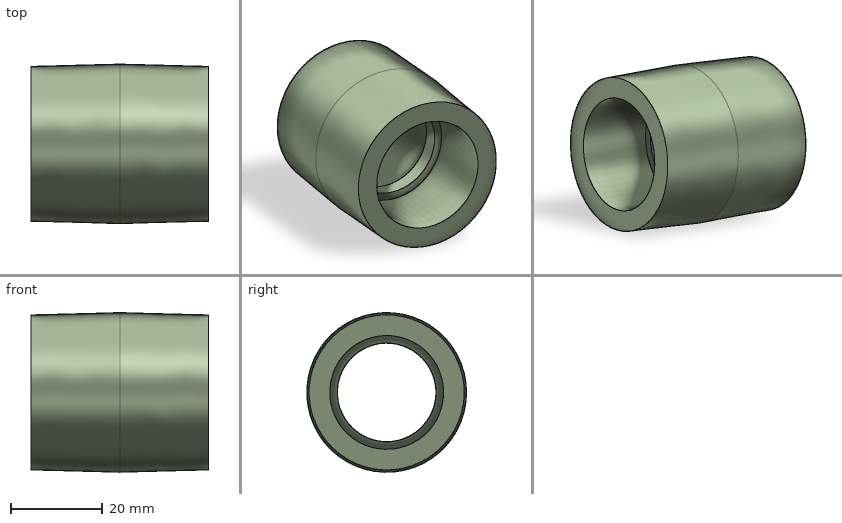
import cadquery as cq

length = 39.0
end_diameter = 34.1
crown_diameter = 35.1
socket_diameter = 25.0
stop_diameter = 21.65
stop_width = 3.9

half_length = length / 2
end_radius = end_diameter / 2
crown_radius = crown_diameter / 2

body = (
    cq.Workplane("XY")
    .moveTo(-half_length, 0)
    .lineTo(-half_length, end_radius)
    .lineTo(0, crown_radius)
    .lineTo(half_length, end_radius)
    .lineTo(half_length, 0)
    .close()
    .revolve(360, (0, 0, 0), (1, 0, 0))
)


def bore(diameter, start, depth):
    """Cylinder along +X from the given X position."""
    return cq.Workplane("YZ", origin=(start, 0, 0)).circle(diameter / 2).extrude(depth)


socket_depth = (length - stop_width) / 2
result = (
    body
    .cut(bore(stop_diameter, -half_length, length))
    .cut(bore(socket_diameter, -half_length, socket_depth))
    .cut(bore(socket_diameter, stop_width / 2, socket_depth))
)